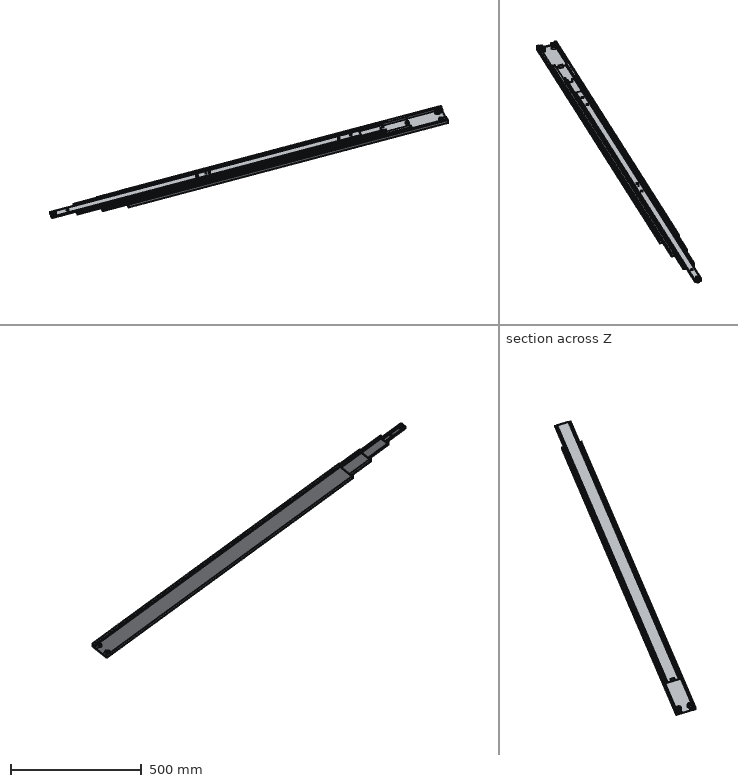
import cadquery as cq

stroke_step = 100.0
rise = 8.0
front_end = -800.0

outer_width = 80.0
outer_height = 16.0
outer_lip = 8.0
outer_length = 1300.0
outer_floor = 3.0
outer_back = 800.0

rail_length = 1256.0

large_width = outer_width - 2 * outer_lip
large_wall = 10.0
large_height = 16.0
large_floor = 3.0

small_width = large_width - 2 * large_wall
small_wall = 5.0
small_height = 16.0
small_floor = 3.0

inner_width = 25.0
inner_height = 10.0
inner_wall = 5.0
inner_web = 5.0

race_radius = 2.0
race_height = 4.0

bumper_x = 22.0
bumper_inset = 20.0
bumper_diameter = 20.0
bumper_hole = 5.0
bumper_neck = 10.0
bumper_height = 10.0

tab_width = 16.0
tab_length = 11.0
tab_height = 6.0
tab_slope = 5.0
slot_width = 16.0
slot_length = 15.0

hole_pairs = 3
pair_pitch = 576.0
hole_pitch = 50.0
first_hole_inset = 18.0
mounting_hole = 8.0
pilot_hole = 3.0
pilot_inset = 629.0

hook_width = 8.0
hook_length = 15.0
hook_drop = 5.0
hook_stem = 5.0
hook_foot = 3.0
hook_tip_radius = 2.4
hook_tip_inset = 10.0
window_length = 10.0

large_level = rise
small_level = 2 * rise
top_level = small_level + small_height
inner_level = top_level - inner_height
small_front = front_end + stroke_step
large_front = small_front + stroke_step


def block(width, length, height, front, level):
    """Box centred on X that starts at the given Y and Z."""
    box = cq.Workplane("XY").box(width, length, height, centered=(True, False, False))
    return box.translate((0, front, level))


def channel(width, length, height, wall, floor, front, level):
    """Rail with an upright wall on each side of a flat floor."""
    body = block(width, length, height, front, level)
    return body.cut(block(width - 2 * wall, length, height, front, level + floor))


def upright(x, y, level, diameter, height):
    """Vertical cylinder."""
    return cq.Workplane("XY").circle(diameter / 2).extrude(height).translate((x, y, level))


def raceways(width, length, front, level):
    """Round grooves along both sides."""
    sides = cq.Workplane("XZ").pushPoints([(-width / 2, level), (width / 2, level)])
    return sides.circle(race_radius).extrude(-length).translate((0, front, 0))


def bumper(x):
    """Drilled post with a neck reaching the back end of the outer rail."""
    center_y = outer_back - bumper_inset
    post = upright(x, center_y, outer_floor, bumper_diameter, bumper_height)
    neck = block(bumper_neck, bumper_inset, bumper_height, center_y, outer_floor).translate((x, 0, 0))
    return post.union(neck).cut(upright(x, center_y, outer_floor, bumper_hole, bumper_height))


def make_outer_rail():
    front = outer_back - outer_length
    rail = channel(outer_width, outer_length, outer_height, outer_lip, outer_floor, front, 0)
    for side in (-1, 1):
        rail = rail.union(bumper(side * bumper_x))
    return rail


def make_large_rail():
    rail = channel(large_width, rail_length, large_height, large_wall, large_floor, large_front, large_level)
    rail = rail.cut(raceways(large_width, rail_length, large_front, large_level + race_height))
    tab_front = large_front + rail_length - tab_length
    tab = block(tab_width, tab_length, tab_height, tab_front, large_level + large_floor)
    return rail.union(tab.edges("<Y and >Z").chamfer(tab_slope))


def make_small_rail():
    rail = channel(small_width, rail_length, small_height, small_wall, small_floor, small_front, small_level)
    rail = rail.cut(raceways(small_width, rail_length, small_front, small_level + race_height))
    slot_front = small_front + rail_length - slot_length
    return rail.cut(block(slot_width, slot_length, small_floor, slot_front, small_level))


def hook():
    """Stem down from the web end, a foot reaching back below the window, and a round bump under it."""
    foot_level = inner_level - hook_drop
    stem = block(hook_width, hook_stem, top_level - foot_level, front_end, foot_level)
    foot = block(hook_width, hook_length, hook_foot, front_end, foot_level)
    bump = cq.Workplane("YZ").center(front_end + hook_tip_inset, foot_level)
    bump = bump.circle(hook_tip_radius).extrude(hook_width / 2, both=True)
    return stem.union(foot).union(bump)


def make_inner_rail():
    rail = block(inner_width, rail_length, inner_height, front_end, inner_level)
    hollow_height = inner_height - inner_web
    rail = rail.cut(block(inner_width - 2 * inner_wall, rail_length, hollow_height, front_end, inner_level))
    rail = rail.cut(raceways(inner_width, rail_length, front_end, inner_level + hollow_height))
    for pair in range(hole_pairs):
        for hole in range(2):
            y = front_end + first_hole_inset + pair * pair_pitch + hole * hole_pitch
            rail = rail.cut(upright(0, y, inner_level, mounting_hole, inner_height))
    rail = rail.cut(upright(0, front_end + pilot_inset, inner_level, pilot_hole, inner_height))
    rail = rail.cut(block(hook_width, window_length, inner_height, front_end + hook_stem, inner_level))
    return rail.union(hook())


outer_rail = make_outer_rail()
large_rail = make_large_rail()
small_rail = make_small_rail()
inner_rail = make_inner_rail()

result = cq.Compound.makeCompound([outer_rail.val(), large_rail.val(), small_rail.val(), inner_rail.val()])